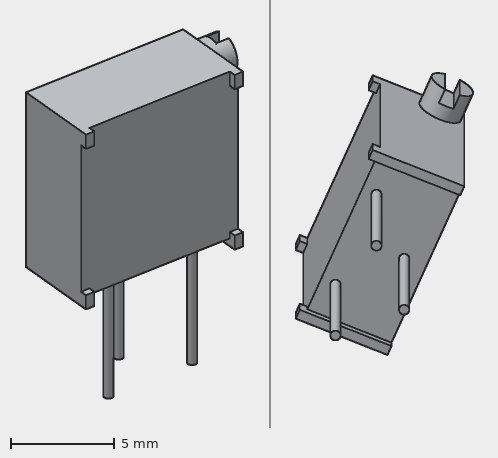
import cadquery as cq

total_height = 16.38
total_width = 4.83
total_depth = 11.05

body_width = 4.44
body_depth = 9.53
body_bottom = 6.83

standoff_thickness = 0.5
standoff_height = 0.82
foot_bottom = 6.37

screw_diameter = 2.2
screw_x = 1.28
screw_z = 15.1
slot_width = 0.77
slot_depth = 0.77

pin_diameter = 0.5
pin_pitch = 2.54
pin_near_x = 1.15
pin_middle_y = body_depth / 2


def block(x_range, y_range, z_range):
    """Box spanning the given (low, high) range on each axis."""
    size = [high - low for low, high in (x_range, y_range, z_range)]
    corner = (x_range[0], y_range[0], z_range[0])
    return cq.Workplane("XY").box(*size, centered=False).translate(corner)


def make_housing():
    housing = block((0, body_width), (0, body_depth), (body_bottom, total_height))
    for end_y in (0, body_depth - standoff_thickness):
        end_range = (end_y, end_y + standoff_thickness)
        housing = housing.union(block((0, total_width), end_range, (foot_bottom, body_bottom)))
        for low_z in (foot_bottom, total_height - standoff_height):
            housing = housing.union(
                block((body_width, total_width), end_range, (low_z, low_z + standoff_height))
            )
    return housing


def make_screw():
    screw = (
        cq.Workplane("XZ", origin=(screw_x, body_depth, screw_z))
        .circle(screw_diameter / 2)
        .extrude(body_depth - total_depth)
    )
    slot = block(
        (screw_x - slot_width / 2, screw_x + slot_width / 2),
        (total_depth - slot_depth, total_depth),
        (screw_z - screw_diameter / 2, screw_z + screw_diameter / 2),
    )
    return screw.cut(slot)


def make_pins():
    pin_far_x = pin_near_x + pin_pitch
    pin_centers = [
        (pin_far_x, pin_middle_y - pin_pitch),
        (pin_near_x, pin_middle_y),
        (pin_far_x, pin_middle_y + pin_pitch),
    ]
    return cq.Workplane("XY").pushPoints(pin_centers).circle(pin_diameter / 2).extrude(body_bottom)


result = make_housing().union(make_screw()).union(make_pins())